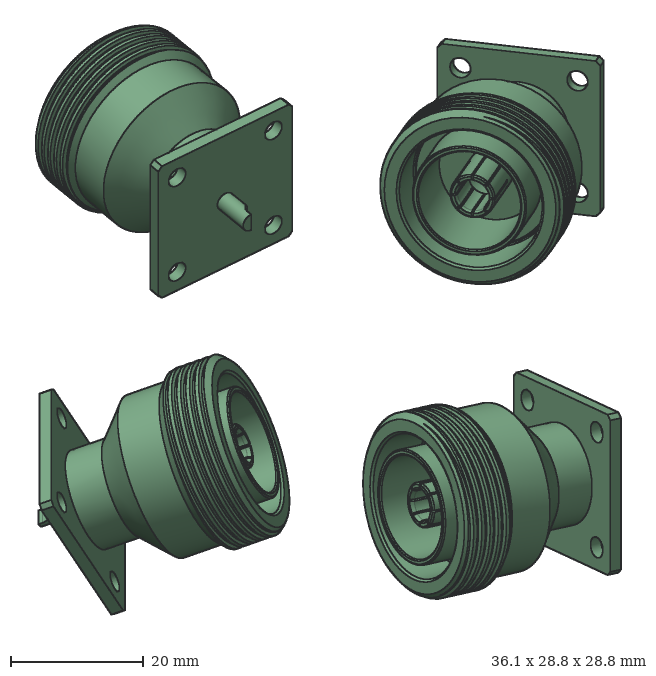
import cadquery as cq
import math


total_length = 36.1

shell_front_x = 0.55
thread_crest_radius = 14.4
shell_face_radius = 13.43
barrel_radius = 13.05
barrel_start_x = 9.6
barrel_end_x = 16.55
neck_radius = 7.95
neck_start_x = 21.7

thread_root_radius = 13.85
thread_run = 9.02
thread_turns = 6
thread_pitch = thread_run / thread_turns
thread_run_start_x = 0.75
groove_root_width = 0.35
groove_flank_angle = 25.0
groove_overshoot = 0.18

bore_radius = 11.2
bore_chamfer = 0.35
bore_floor_x = 8.65
seat_groove_width = 0.47

tube_outer_radius = 8.9
tube_inner_radius = 8.0
tube_chamfer = 0.2
tube_floor_x = 11.9

contact_front_x = 1.7
contact_radius = 3.5
contact_outer_chamfer = 0.25
contact_bore_radius = 2.53
contact_lead_in_width = 0.2
contact_lead_in_depth = 0.7
contact_bore_depth = 7.22
drill_point_angle = 118.0
cross_cut_count = 4
slot_width = 0.3

flange_front_x = 27.75
flange_thickness = 2.0
flange_size = 25.55
flange_corner_chamfer = 0.72
mount_hole_spacing = 18.35
mount_hole_diameter = 3.2

pin_radius = 1.5
notch_radius = 2.53
notch_center_x = 35.5

flange_back_x = flange_front_x + flange_thickness


def turned(outline):
    """Revolve a list of (x, radius) points about the X axis."""
    return cq.Workplane("XY").polyline(outline).close().revolve(360, (0, 0, 0), (1, 0, 0))


def disc_from(start_x, radius, end_x):
    """Plain cylinder on the X axis."""
    return cq.Workplane("YZ").workplane(offset=start_x).circle(radius).extrude(end_x - start_x)


def make_shell():
    """Outer body as a solid of revolution, with both thread ends chamfered at 45 degrees."""
    front_chamfer = thread_crest_radius - shell_face_radius
    rear_chamfer = thread_crest_radius - barrel_radius
    return turned([
        (shell_front_x, 0),
        (shell_front_x, shell_face_radius),
        (shell_front_x + front_chamfer, thread_crest_radius),
        (barrel_start_x - rear_chamfer, thread_crest_radius),
        (barrel_start_x, barrel_radius),
        (barrel_end_x, barrel_radius),
        (neck_start_x, neck_radius),
        (flange_back_x, neck_radius),
        (flange_back_x, 0),
    ])


def make_thread_groove():
    """Helical cutter, built of ruled faces round the Z axis and then turned onto the X axis."""
    slope = math.tan(math.radians(groove_flank_angle))
    outer_radius = thread_crest_radius + groove_overshoot
    half_root = groove_root_width / 2
    half_mouth = half_root + (outer_radius - thread_root_radius) * slope
    section = [
        (thread_root_radius, -half_root),
        (outer_radius, -half_mouth),
        (outer_radius, half_mouth),
        (thread_root_radius, half_root),
    ]
    helices = [
        cq.Wire.makeHelix(thread_pitch, thread_run, radius).translate(cq.Vector(0, 0, height))
        for radius, height in section
    ]
    faces = [
        cq.Face.makeRuledSurface(helix, next_helix)
        for helix, next_helix in zip(helices, helices[1:] + helices[:1])
    ]
    for end_height in (0, thread_run):
        corners = [cq.Vector(radius, 0, height + end_height) for radius, height in section]
        faces.append(cq.Face.makeFromWires(cq.Wire.makePolygon(corners, close=True)))
    cutter = cq.Workplane(obj=cq.Solid.makeSolid(cq.Shell.makeShell(faces)))
    return (
        cutter.rotate((0, 0, 0), (0, 1, 0), 90)
        .rotate((0, 0, 0), (1, 0, 0), 180)
        .translate((thread_run_start_x, 0, 0))
    )


def make_bore():
    """Bore cutter with a chamfered mouth and a V groove round the edge of its floor."""
    seat_depth = seat_groove_width / 2
    return turned([
        (shell_front_x, 0),
        (shell_front_x, bore_radius + bore_chamfer),
        (shell_front_x + bore_chamfer, bore_radius),
        (bore_floor_x, bore_radius),
        (bore_floor_x + seat_depth, bore_radius - seat_depth),
        (bore_floor_x, bore_radius - seat_groove_width),
        (bore_floor_x, 0),
    ])


def make_tube():
    """Solid inner tube blank, seated in the bore floor."""
    return disc_from(0, tube_outer_radius, tube_floor_x).faces("<X").chamfer(tube_chamfer)


def make_tube_cavity():
    return turned([
        (0, 0),
        (0, tube_inner_radius + tube_chamfer),
        (tube_chamfer, tube_inner_radius),
        (tube_floor_x, tube_inner_radius),
        (tube_floor_x, 0),
    ])


def make_contact():
    """Centre contact with a drilled bore, split into equal fingers by cuts across its axis."""
    bore_end_x = contact_front_x + contact_bore_depth
    drill_point = contact_bore_radius / math.tan(math.radians(drill_point_angle / 2))
    contact = disc_from(contact_front_x, contact_radius, tube_floor_x)
    contact = contact.faces("<X").chamfer(contact_outer_chamfer)
    contact = contact.cut(turned([
        (contact_front_x, 0),
        (contact_front_x, contact_bore_radius + contact_lead_in_width),
        (contact_front_x + contact_lead_in_depth, contact_bore_radius),
        (bore_end_x, contact_bore_radius),
        (bore_end_x + drill_point, 0),
    ]))
    for index in range(cross_cut_count):
        slot = (
            cq.Workplane("YZ")
            .workplane(offset=contact_front_x)
            .rect(2 * contact_radius + slot_width, slot_width)
            .extrude(contact_bore_depth)
            .rotate((0, 0, 0), (1, 0, 0), index * 180 / cross_cut_count)
        )
        contact = contact.cut(slot)
    return contact


def make_flange():
    return (
        cq.Workplane("YZ")
        .workplane(offset=flange_front_x)
        .rect(flange_size, flange_size)
        .extrude(flange_thickness)
        .edges("|X")
        .chamfer(flange_corner_chamfer)
        .faces(">X")
        .workplane(origin=(flange_back_x, 0, 0))
        .rect(mount_hole_spacing, mount_hole_spacing, forConstruction=True)
        .vertices()
        .hole(mount_hole_diameter)
    )


def make_pin():
    """Solder pin whose +Y half is removed at the tip, the cut blending out on an arc along Z."""
    pin = disc_from(flange_back_x, pin_radius, total_length)
    arc = (
        cq.Workplane("XY")
        .center(notch_center_x, notch_radius)
        .circle(notch_radius)
        .extrude(pin_radius, both=True)
    )
    tip = (
        cq.Workplane("XY")
        .moveTo(notch_center_x, 0)
        .rect(total_length - notch_center_x, notch_radius, centered=False)
        .extrude(pin_radius, both=True)
    )
    return pin.cut(arc).cut(tip)


shell = make_shell().cut(make_thread_groove()).cut(make_bore())
body = shell.union(make_tube()).cut(make_tube_cavity())
result = body.union(make_contact()).union(make_flange()).union(make_pin())